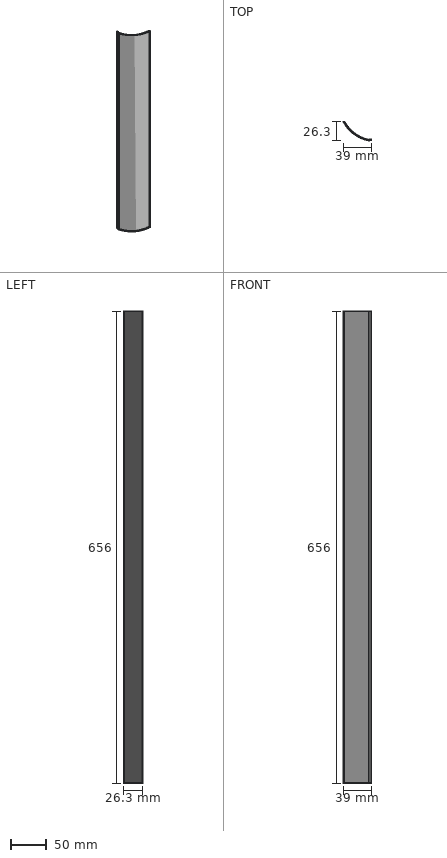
import cadquery as cq
import math

width = 39.0
length = 656.0

outer_radius = 51.0
thickness = 1.2
inner_radius = outer_radius - thickness
free_edge_angle = math.radians(62.3)
bend_angle = math.radians(11.3)

lip_slope = math.radians(11.3)


def on_circle(radius, angle):
    """Point of a circle about the Z axis, at an angle from -Y towards -X."""
    return (-radius * math.sin(angle), -radius * math.cos(angle))


def along_lip(distance, height):
    """Point given by its distance along the lip direction and its height square to it."""
    return (
        distance * math.cos(lip_slope) - height * math.sin(lip_slope),
        distance * math.sin(lip_slope) + height * math.cos(lip_slope),
    )


def strip_profile():
    """Cross-section: a circular band with a straight lip of the same thickness."""
    outer_free_edge = on_circle(outer_radius, free_edge_angle)
    inner_free_edge_angle = math.acos(outer_radius * math.cos(free_edge_angle) / inner_radius)
    inner_free_edge = on_circle(inner_radius, inner_free_edge_angle)

    outer_bend = on_circle(outer_radius, bend_angle)

    turn = bend_angle + lip_slope
    outer_height = -outer_radius * math.cos(turn)
    inner_height = outer_height + thickness

    inner_bend_distance = -math.sqrt(inner_radius**2 - inner_height**2)
    inner_bend = along_lip(inner_bend_distance, inner_height)
    inner_bend_angle = math.atan2(-inner_bend[0], -inner_bend[1])

    lip_length = (width - (outer_bend[0] - outer_free_edge[0])) / math.cos(lip_slope)
    lip_end_distance = lip_length - outer_radius * math.sin(turn)

    outer_middle = on_circle(outer_radius, (free_edge_angle + bend_angle) / 2)
    inner_middle = on_circle(inner_radius, (inner_free_edge_angle + inner_bend_angle) / 2)

    return (
        cq.Workplane("XY")
        .moveTo(*outer_free_edge)
        .threePointArc(outer_middle, outer_bend)
        .lineTo(*along_lip(lip_end_distance, outer_height))
        .lineTo(*along_lip(lip_end_distance, inner_height))
        .lineTo(*inner_bend)
        .threePointArc(inner_middle, inner_free_edge)
        .close()
    )


result = strip_profile().extrude(length)